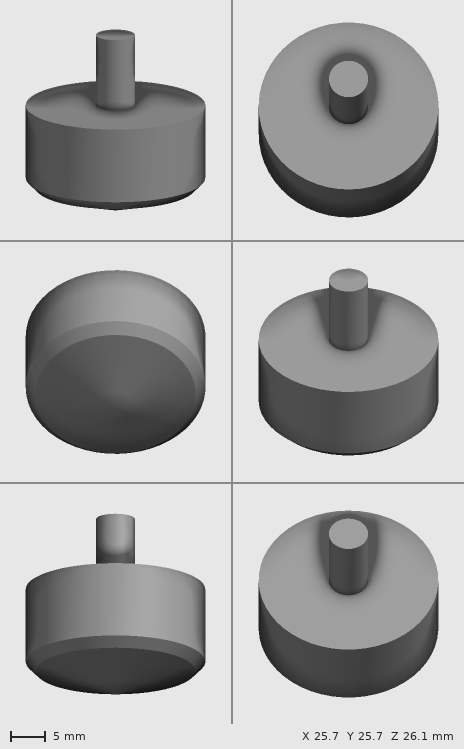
import cadquery as cq

total_height = 26.1
body_diameter = 25.7
shank_diameter = 5.6
shank_length = 10.45
chamfer_size = 1.4
cone_height = 3.45

body_radius = body_diameter / 2
shank_radius = shank_diameter / 2
cone_radius = body_radius - chamfer_size
chamfer_top = cone_height + chamfer_size
body_top = total_height - shank_length

half_profile = [
    (0, 0),
    (cone_radius, cone_height),
    (body_radius, chamfer_top),
    (body_radius, body_top),
    (shank_radius, body_top),
    (shank_radius, total_height),
    (0, total_height),
]

result = (
    cq.Workplane("XZ")
    .polyline(half_profile)
    .close()
    .revolve(360, (0, 0, 0), (0, 1, 0))
)